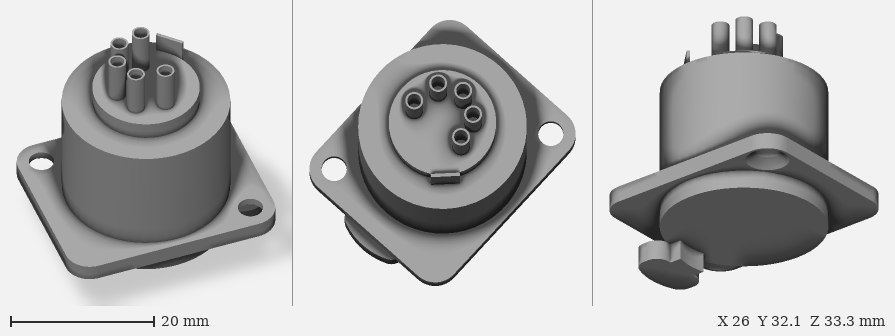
import cadquery as cq
import math

TAB_TOP = 2.93
FLANGE_BOTTOM = 5.63
FLANGE_TOP = 8.03
BODY_TOP = 24.28
INSERT_TOP = 26.87
BLADE_TOP = 29.35
TOTAL_HEIGHT = 33.3

BODY_DIAMETER = 23.58
INSERT_DIAMETER = 15.02

FLANGE_WIDTH = 26.0
FLANGE_LENGTH = 31.0
FLANGE_CORNER_RADIUS = 3.53
SCREW_HOLE_DIAMETER = 3.53
COUNTERSINK_DIAMETER = 6.2
COUNTERSINK_ANGLE = 90
SCREW_HOLE_X = 9.52
SCREW_HOLE_Y = 12.02

CUP_DIAMETER = 2.5
CUP_BORE = 1.93
CUP_CENTRES = [(-4.23, 0.8), (-3.3, -2.73), (0, -4.3), (3.3, -2.73), (4.1, 1.35)]

BLADE_LENGTH = 4.05
BLADE_THICKNESS = 0.45
BLADE_DISTANCE = 8.03
BLADE_ANGLE = 135

TAB_HALF_WIDTH = 5.05
TAB_TIP_Y = 16.62
TAB_TIP_RADIUS = 10.0
TAB_CORNER_RADIUS = 2.03
TAB_SHOULDER_Y = 11.2
TAB_UPPER_CORNER_Y = 14.0
NECK_HALF_WIDTH = 2.53
NECK_END_Y = 9.35


def cylinder(diameter, bottom, top):
    return cq.Workplane("XY").workplane(offset=bottom).circle(diameter / 2).extrude(top - bottom)


def make_flange():
    return (
        cq.Workplane("XY")
        .workplane(offset=FLANGE_BOTTOM)
        .rect(FLANGE_WIDTH, FLANGE_LENGTH)
        .extrude(FLANGE_TOP - FLANGE_BOTTOM)
        .edges("|Z")
        .fillet(FLANGE_CORNER_RADIUS)
    )


def make_screw_holes():
    """Through holes countersunk from the underside of the flange."""
    hole_radius = SCREW_HOLE_DIAMETER / 2
    sink_radius = COUNTERSINK_DIAMETER / 2
    sink_depth = (sink_radius - hole_radius) / math.tan(math.radians(COUNTERSINK_ANGLE / 2))
    sink_top = FLANGE_BOTTOM + sink_depth

    cutter = (
        cq.Workplane("XZ")
        .moveTo(0, FLANGE_BOTTOM)
        .lineTo(sink_radius, FLANGE_BOTTOM)
        .lineTo(hole_radius, sink_top)
        .lineTo(hole_radius, FLANGE_TOP)
        .lineTo(0, FLANGE_TOP)
        .close()
        .revolve(360, (0, 0, 0), (0, 1, 0))
    )
    upper_right = cutter.translate((SCREW_HOLE_X, SCREW_HOLE_Y, 0))
    lower_left = cutter.translate((-SCREW_HOLE_X, -SCREW_HOLE_Y, 0))
    return upper_right.union(lower_left)


def make_cup_rods(diameter):
    """Rods of the given diameter standing on the insert at every cup position."""
    return (
        cq.Workplane("XY")
        .workplane(offset=INSERT_TOP)
        .pushPoints(CUP_CENTRES)
        .circle(diameter / 2)
        .extrude(TOTAL_HEIGHT - INSERT_TOP)
    )


def make_blade():
    return (
        cq.Workplane("XY")
        .workplane(offset=BODY_TOP)
        .center(BLADE_DISTANCE, 0)
        .rect(BLADE_THICKNESS, BLADE_LENGTH)
        .extrude(BLADE_TOP - BODY_TOP)
        .rotate((0, 0, 0), (0, 0, 1), BLADE_ANGLE)
    )


def make_tab():
    """Rounded thumb pad with a narrower neck whose end is an arc about the body axis."""
    corner_x = TAB_HALF_WIDTH - TAB_CORNER_RADIUS
    tip_centre_y = TAB_TIP_Y - TAB_TIP_RADIUS

    tangent_angle = math.atan2(TAB_UPPER_CORNER_Y - tip_centre_y, corner_x)
    tangent_x = corner_x + TAB_CORNER_RADIUS * math.cos(tangent_angle)
    tangent_y = TAB_UPPER_CORNER_Y + TAB_CORNER_RADIUS * math.sin(tangent_angle)
    lower_corner_y = TAB_SHOULDER_Y + TAB_CORNER_RADIUS
    neck_end_radius = math.hypot(NECK_HALF_WIDTH, NECK_END_Y)

    return (
        cq.Workplane("XY")
        .moveTo(-NECK_HALF_WIDTH, NECK_END_Y)
        .threePointArc((0, neck_end_radius), (NECK_HALF_WIDTH, NECK_END_Y))
        .lineTo(NECK_HALF_WIDTH, TAB_SHOULDER_Y)
        .lineTo(corner_x, TAB_SHOULDER_Y)
        .radiusArc((TAB_HALF_WIDTH, lower_corner_y), -TAB_CORNER_RADIUS)
        .lineTo(TAB_HALF_WIDTH, TAB_UPPER_CORNER_Y)
        .radiusArc((tangent_x, tangent_y), -TAB_CORNER_RADIUS)
        .threePointArc((0, TAB_TIP_Y), (-tangent_x, tangent_y))
        .radiusArc((-TAB_HALF_WIDTH, TAB_UPPER_CORNER_Y), -TAB_CORNER_RADIUS)
        .lineTo(-TAB_HALF_WIDTH, lower_corner_y)
        .radiusArc((-corner_x, TAB_SHOULDER_Y), -TAB_CORNER_RADIUS)
        .lineTo(-NECK_HALF_WIDTH, TAB_SHOULDER_Y)
        .close()
        .extrude(TAB_TOP)
    )


body = cylinder(BODY_DIAMETER, TAB_TOP, BODY_TOP)
insert = cylinder(INSERT_DIAMETER, BODY_TOP, INSERT_TOP)

result = (
    body.union(insert)
    .union(make_flange())
    .union(make_cup_rods(CUP_DIAMETER))
    .union(make_blade())
    .union(make_tab())
    .cut(make_screw_holes())
    .cut(make_cup_rods(CUP_BORE))
)